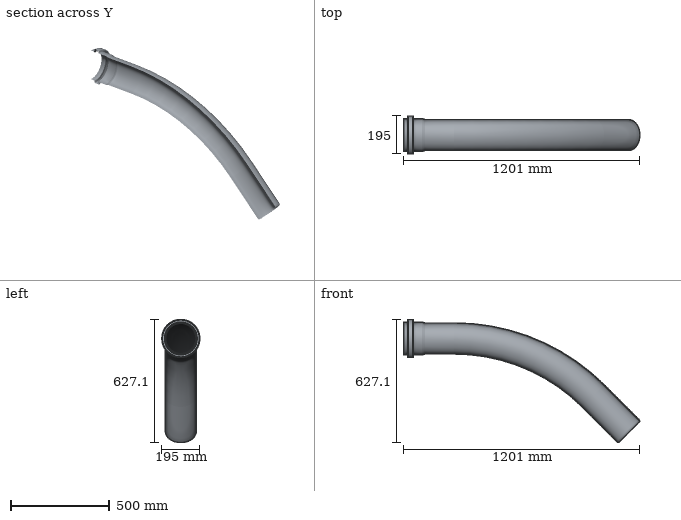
import cadquery as cq
import math

overall_length = 1201.0

pipe_outer_radius = 160.0 / 2
pipe_inner_radius = 153.0 / 2

bend_start = 258.0
bend_radius = 998.0
bend_angle = 45.0

socket_outer_radius = 168.0 / 2
socket_inner_radius = 161.0 / 2
socket_end = 95.0
taper_end = 109.0
collar_outer_radius = 195.0 / 2
groove_radius = 186.0 / 2
collar_start = 20.0
collar_end = 49.0
collar_edge_round = 2.0
collar_wall = collar_outer_radius - groove_radius

bevel_length = 8.0
bevel_depth = 2.0

angle = math.radians(bend_angle)
rim_reach = (pipe_outer_radius - bevel_depth) * math.sin(angle)
bend_end_x = bend_start + bend_radius * math.sin(angle)
bend_end_z = -bend_radius * (1 - math.cos(angle))
spigot_length = (overall_length - rim_reach - bend_end_x) / math.cos(angle)


def revolve_about_x(points):
    """Revolve a closed (axial position, radius) outline about the X axis."""
    return cq.Workplane("XY").polyline(points).close().revolve(360, (0, 0), (1, 0))


def make_inlet():
    """Socket, taper and straight pipe up to the bend, with the hollow seal collar."""
    outside = revolve_about_x([
        (0, 0),
        (0, socket_outer_radius),
        (socket_end, socket_outer_radius),
        (taper_end, pipe_outer_radius),
        (bend_start, pipe_outer_radius),
        (bend_start, 0),
    ])
    collar = (
        cq.Workplane("YZ", origin=(collar_start, 0, 0))
        .circle(collar_outer_radius)
        .extrude(collar_end - collar_start)
        .edges("%CIRCLE")
        .fillet(collar_edge_round)
    )
    bore = revolve_about_x([
        (0, 0),
        (0, socket_inner_radius),
        (collar_start + collar_wall, socket_inner_radius),
        (collar_start + collar_wall, groove_radius),
        (collar_end - collar_wall, groove_radius),
        (collar_end - collar_wall, socket_inner_radius),
        (socket_end, socket_inner_radius),
        (taper_end, pipe_inner_radius),
        (bend_start, pipe_inner_radius),
        (bend_start, 0),
    ])
    return outside.union(collar).cut(bore)


def make_bend():
    """Pipe ring revolved about a Y-parallel axis below the centre line."""
    return (
        cq.Workplane("YZ", origin=(bend_start, 0, 0))
        .circle(pipe_outer_radius)
        .circle(pipe_inner_radius)
        .revolve(bend_angle, (0, -bend_radius), (1, -bend_radius))
    )


def make_spigot():
    """Straight tail, bevelled at its free end and set on the end of the bend."""
    tail = revolve_about_x([
        (0, pipe_inner_radius),
        (0, pipe_outer_radius),
        (spigot_length - bevel_length, pipe_outer_radius),
        (spigot_length, pipe_outer_radius - bevel_depth),
        (spigot_length, pipe_inner_radius),
    ])
    return (
        tail.rotate((0, 0, 0), (0, 1, 0), bend_angle)
        .translate((bend_end_x, 0, bend_end_z))
    )


result = make_inlet().union(make_bend()).union(make_spigot())